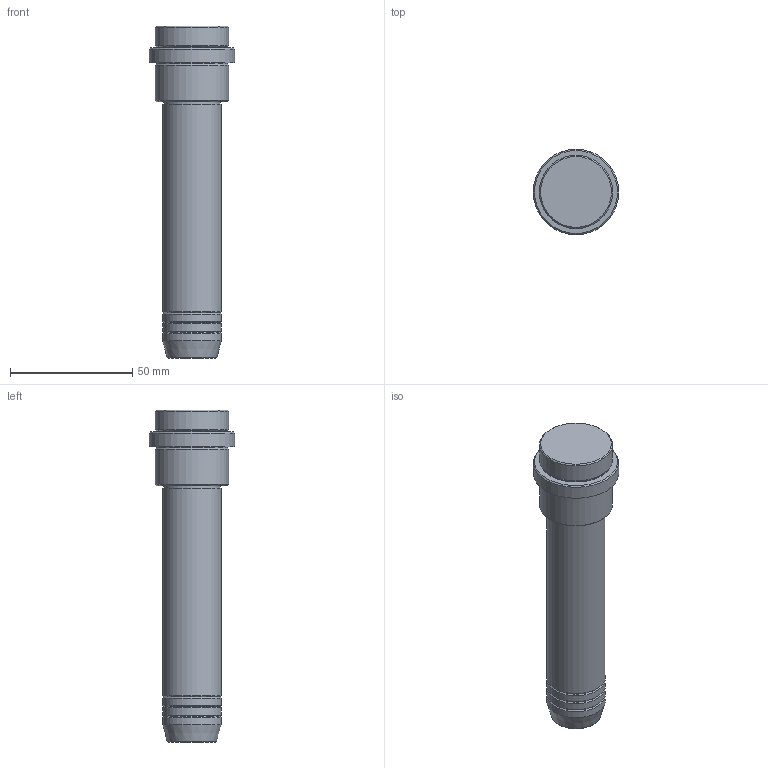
import math

import cadquery as cq

total_length = 136.0
head_radius = 30.0 / 2
flange_radius = 35.0 / 2
shaft_radius = 24.0 / 2

shoulder_height = total_length - 31.0
flange_bottom = total_length - 15.0
flange_top = flange_bottom + 6.0
edge_chamfer = 0.5

relief_width = 1.0
relief_depth = 0.5
relief_floor = relief_width / 2

oil_groove_count = 3
oil_groove_pitch = 4.0
oil_groove_width = 1.0
oil_groove_depth = 0.5
lowest_oil_groove = 10.0

taper_height = 7.0
taper_angle = math.radians(15.0)
tip_radius = shaft_radius - taper_height * math.tan(taper_angle)
tip_fillet = 0.5


def oil_groove_points(bottom):
    """Profile of one V-shaped oil groove, from its lower to its upper edge."""
    return [
        (shaft_radius, bottom),
        (shaft_radius - oil_groove_depth, bottom + oil_groove_width / 2),
        (shaft_radius, bottom + oil_groove_width),
    ]


def shaft_points():
    """Profile from the tip up to the relief groove under the shoulder."""
    points = [(0, 0), (tip_radius, 0), (shaft_radius, taper_height)]
    for index in range(oil_groove_count):
        points += oil_groove_points(lowest_oil_groove + index * oil_groove_pitch)
    neck_radius = shaft_radius - relief_depth
    points += [
        (shaft_radius, shoulder_height - relief_width),
        (neck_radius, shoulder_height - relief_width),
        (neck_radius, shoulder_height),
    ]
    return points


def head_points():
    """Profile from the shoulder to the top face, with a one-sided bevelled relief on each side of the flange."""
    relief_radius = head_radius - relief_depth
    return [
        (head_radius - edge_chamfer, shoulder_height),
        (head_radius, shoulder_height + edge_chamfer),
        (head_radius, flange_bottom - relief_width),
        (relief_radius, flange_bottom - relief_floor),
        (relief_radius, flange_bottom),
        (flange_radius, flange_bottom),
        (flange_radius, flange_top - edge_chamfer),
        (flange_radius - edge_chamfer, flange_top),
        (relief_radius, flange_top),
        (relief_radius, flange_top + relief_floor),
        (head_radius, flange_top + relief_width),
        (head_radius, total_length - edge_chamfer),
        (head_radius - edge_chamfer, total_length),
        (0, total_length),
    ]


def make_pin():
    """Revolve the profile, drawn on the -X side, about Z and round the edge of the tip."""
    profile = [(-radius, height) for radius, height in shaft_points() + head_points()]
    pin = cq.Workplane("XZ").polyline(profile).close().revolve(360, (0, 0), (0, 1))
    return pin.faces("<Z").edges().fillet(tip_fillet)


result = make_pin()